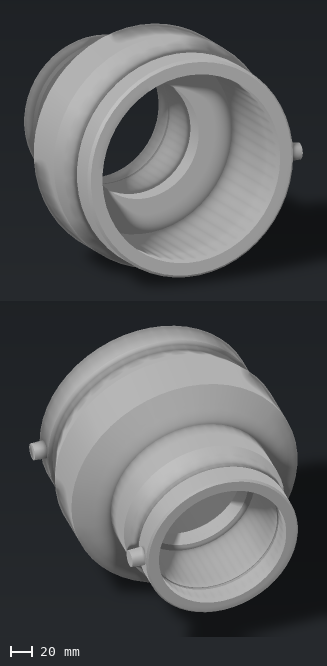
import cadquery as cq

length = 212.0
overall_y = 227.0

small_spigot_radius = 149.1 / 2
small_groove_radius = 144.1 / 2
small_hub_radius = 158.0 / 2
small_chamfer = 1.8
small_spigot_end = 22.0
small_groove_start = 24.5
small_groove_end = 30.6
small_hub_start = 50.0
small_hub_end = 85.4

body_radius = 222.0 / 2
body_start = 104.0
body_end = 149.0
large_groove_radius = 202.5 / 2
large_groove_start = 174.8
large_groove_end = 182.7
large_spigot_start = 186.1
large_spigot_radius = 208.5 / 2
large_chamfer = 2.5

small_socket_radius = 125.0 / 2
ring_groove_depth = 0.7
ring_groove_start = 21.3
ring_groove_end = 25.0
lip_radius = 112.5 / 2
lip_start = small_hub_end
lip_end = body_start
large_socket_radius = 180.0 / 2

pin_base_radius = 8.9
pin_tip_radius = 8.0
pin_height = 13.2
pin_embed = 2.3
small_pin_x = 11.8
large_pin_x = 197.3
small_pin_tip_y = 87.2
large_pin_tip_y = overall_y - body_radius


def revolve_profile(points):
    """Turn a closed (x, radius) outline about the X axis."""
    return cq.Workplane("XY").polyline(points).close().revolve(360, (0, 0, 0), (1, 0, 0))


def outer_body():
    return revolve_profile([
        (0, 0),
        (0, small_spigot_radius - small_chamfer),
        (small_chamfer, small_spigot_radius),
        (small_spigot_end, small_spigot_radius),
        (small_groove_start, small_groove_radius),
        (small_groove_end, small_groove_radius),
        (small_hub_start, small_hub_radius),
        (small_hub_end, small_hub_radius),
        (body_start, body_radius),
        (body_end, body_radius),
        (large_groove_start, large_groove_radius),
        (large_groove_end, large_groove_radius),
        (large_spigot_start, large_spigot_radius),
        (length - large_chamfer, large_spigot_radius),
        (length, large_spigot_radius - large_chamfer),
        (length, 0),
    ])


def bore():
    ring_groove_radius = small_socket_radius + ring_groove_depth
    return revolve_profile([
        (0, 0),
        (0, small_socket_radius),
        (ring_groove_start, small_socket_radius),
        (ring_groove_start, ring_groove_radius),
        (ring_groove_end, ring_groove_radius),
        (ring_groove_end, small_socket_radius),
        (lip_start, small_socket_radius),
        (lip_start, lip_radius),
        (lip_end, lip_radius),
        (lip_end, large_socket_radius),
        (length, large_socket_radius),
        (length, 0),
    ])


def terminal_pin(x, tip_y):
    """Tapered pin whose base is sunk slightly into the spigot."""
    full_length = pin_height + pin_embed
    base_center = cq.Vector(x, tip_y - full_length, 0)
    outward = cq.Vector(0, 1, 0)
    cone = cq.Solid.makeCone(pin_base_radius, pin_tip_radius, full_length, base_center, outward)
    return cq.Workplane(obj=cone)


result = (
    outer_body()
    .cut(bore())
    .union(terminal_pin(small_pin_x, small_pin_tip_y))
    .union(terminal_pin(large_pin_x, large_pin_tip_y))
)